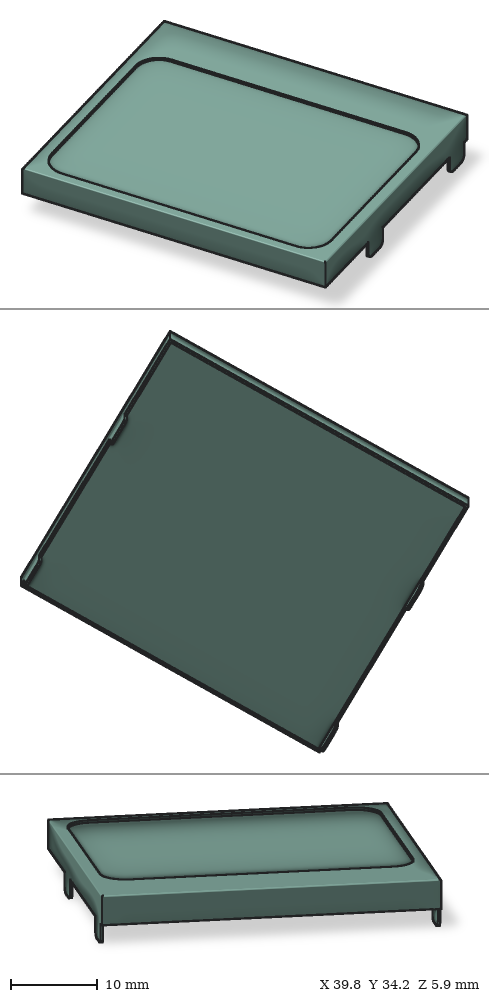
import cadquery as cq

LENGTH_X = 39.8
WIDTH_Y = 34.2
TOTAL_HEIGHT = 5.9
TAB_LENGTH = 2.4
SHEET = 0.3
WALL_HEIGHT = TOTAL_HEIGHT - TAB_LENGTH
TOP_EDGE_RADIUS = 0.2

WINDOW_SIDE_MARGIN = 1.55
WINDOW_FRONT_MARGIN = 1.3
WINDOW_BACK_MARGIN = 6.6
WINDOW_CORNER_RADIUS = 3.0
WINDOW_LENGTH = LENGTH_X - 2 * WINDOW_SIDE_MARGIN
WINDOW_WIDTH = WIDTH_Y - WINDOW_FRONT_MARGIN - WINDOW_BACK_MARGIN
WINDOW_CENTER_Y = (WINDOW_FRONT_MARGIN - WINDOW_BACK_MARGIN) / 2

TAB_WIDTH = 3.5
TAB_CORNER_RADIUS = 0.8
BACK_TAB_MARGIN = 0.7
TAB_PITCH = 19.6
BACK_TAB_Y = WIDTH_Y / 2 - BACK_TAB_MARGIN - TAB_WIDTH / 2
TAB_CENTERS_Y = [BACK_TAB_Y, BACK_TAB_Y - TAB_PITCH]

CAVITY_LENGTH = LENGTH_X - 2 * SHEET
CAVITY_WIDTH = WIDTH_Y - 2 * SHEET
CAVITY_HEIGHT = WALL_HEIGHT - SHEET


def block(length, width, height):
    """Box centred in X and Y, standing on Z = 0."""
    return cq.Workplane("XY").box(length, width, height, centered=(True, True, False))


def make_tab(side, center_y):
    """Tab on the -X (side = -1) or +X (side = 1) wall, overlapping the wall by half its own length."""
    overlap = TAB_LENGTH / 2
    tab = cq.Workplane("XY").box(SHEET, TAB_WIDTH, TAB_LENGTH + overlap)
    tab = tab.edges("|X and <Z").fillet(TAB_CORNER_RADIUS)
    center_x = side * (LENGTH_X - SHEET) / 2
    center_z = (overlap - TAB_LENGTH) / 2
    return tab.translate((center_x, center_y, center_z))


def make_shell():
    """Windowed cover with rounded top edges and four tabs."""
    shell = block(LENGTH_X, WIDTH_Y, WALL_HEIGHT)
    shell = shell.faces(">Z").edges().fillet(TOP_EDGE_RADIUS)
    shell = shell.cut(block(CAVITY_LENGTH, CAVITY_WIDTH, CAVITY_HEIGHT))
    window = block(WINDOW_LENGTH, WINDOW_WIDTH, WALL_HEIGHT)
    window = window.edges("|Z").fillet(WINDOW_CORNER_RADIUS)
    shell = shell.cut(window.translate((0, WINDOW_CENTER_Y, 0)))
    for side in (-1, 1):
        for center_y in TAB_CENTERS_Y:
            shell = shell.union(make_tab(side, center_y))
    return shell


def make_panel():
    """Display panel that fills the cavity and shows through the window."""
    return block(CAVITY_LENGTH, CAVITY_WIDTH, CAVITY_HEIGHT)


shell = make_shell()
panel = make_panel()
result = cq.Compound.makeCompound([shell.solids().val(), panel.val()])